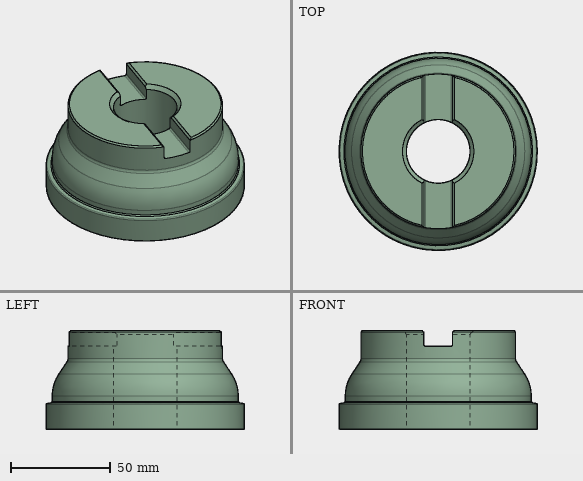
import cadquery as cq
import math

height = 50.0
ring_radius = 50.0
bore_radius = 16.0

ring_height = 13.5
ring_top_drop = 0.4
rim_radius = 0.6
ring_bottom_chamfer = 0.3

collar_radius = 39.0
collar_bottom = 35.8
collar_chamfer = 0.8
collar_blend_radius = 3.0
shoulder_radius = 47.0
shoulder_arc_bottom = 16.8
shoulder_arc_radius = 20.0
foot_flare = 0.6
foot_radius = shoulder_radius + foot_flare
bore_chamfer = 2.0

slot_width = 14.4
slot_depth = 8.0
slot_chamfer = 1.0
slot_corner_radius = 0.8


def make_ring():
    """Flat ring under the hub, revolved about Z."""
    ring = (
        cq.Workplane("XZ")
        .moveTo(bore_radius, 0)
        .lineTo(ring_radius - ring_bottom_chamfer, 0)
        .lineTo(ring_radius, ring_bottom_chamfer)
        .lineTo(ring_radius, ring_height - ring_top_drop)
        .lineTo(foot_radius, ring_height)
        .lineTo(bore_radius, ring_height)
        .close()
        .revolve(360, (0, 0, 0), (0, 1, 0))
    )
    rim = cq.selectors.RadiusNthSelector(-1)
    upper_half = cq.selectors.BoxSelector(
        (-ring_radius, -ring_radius, ring_height / 2),
        (ring_radius, ring_radius, ring_height),
        boundingbox=False,
    )
    return ring.edges(upper_half).edges("%CIRCLE").edges(rim).fillet(rim_radius)


def make_hub_blank():
    """Revolved hub: a straight flank joins the shoulder arc to the collar blend tangentially."""
    arc_center = (shoulder_radius - shoulder_arc_radius, shoulder_arc_bottom)
    blend_center = (collar_radius + collar_blend_radius, collar_bottom)
    across = blend_center[0] - arc_center[0]
    up = blend_center[1] - arc_center[1]
    radius_sum = shoulder_arc_radius + collar_blend_radius
    flank_angle = math.atan2(up, across) - math.acos(radius_sum / math.hypot(across, up))

    def on_shoulder(angle):
        return (
            arc_center[0] + shoulder_arc_radius * math.cos(angle),
            arc_center[1] + shoulder_arc_radius * math.sin(angle),
        )

    def on_blend(angle):
        return (
            blend_center[0] - collar_blend_radius * math.cos(angle),
            blend_center[1] - collar_blend_radius * math.sin(angle),
        )

    return (
        cq.Workplane("XZ")
        .moveTo(bore_radius, ring_height)
        .lineTo(foot_radius, ring_height)
        .lineTo(shoulder_radius, ring_height + foot_flare)
        .lineTo(shoulder_radius, shoulder_arc_bottom)
        .threePointArc(on_shoulder(flank_angle / 2), on_shoulder(flank_angle))
        .lineTo(*on_blend(flank_angle))
        .threePointArc(on_blend(flank_angle / 2), (collar_radius, collar_bottom))
        .lineTo(collar_radius, height - collar_chamfer)
        .lineTo(collar_radius - collar_chamfer, height)
        .lineTo(bore_radius + bore_chamfer, height)
        .lineTo(bore_radius, height - bore_chamfer)
        .close()
        .revolve(360, (0, 0, 0), (0, 1, 0))
    )


def make_slot_cutter():
    """Full-length slot with rounded floor corners and chamfered top edges."""
    half_width = slot_width / 2
    floor = height - slot_depth
    mouth = half_width + slot_chamfer
    slot = (
        cq.Workplane("XZ")
        .polyline([
            (-half_width, floor),
            (half_width, floor),
            (half_width, height - slot_chamfer),
            (mouth, height),
            (-mouth, height),
            (-half_width, height - slot_chamfer),
        ])
        .close()
        .extrude(collar_radius, both=True)
    )
    return slot.faces("<Z").edges("|Y").fillet(slot_corner_radius)


ring = make_ring()
hub = make_hub_blank().cut(make_slot_cutter())

result = cq.Compound.makeCompound([ring.val(), hub.val()])